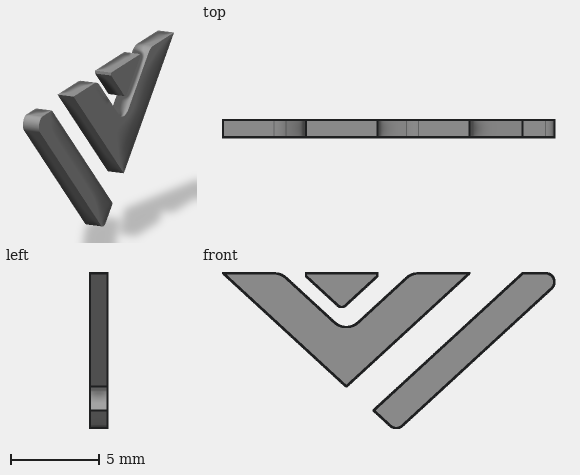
import cadquery as cq
import math

thickness = 1.0
slope = 0.92

chevron_width = 14.0
chevron_arm_width = 3.3
chevron_radius = 1.0

triangle_left = 4.7
triangle_width = 4.06
triangle_side_height = 0.17
triangle_tip_radius = 0.3

bar_right = 18.81
bar_top_left = 17.0
bar_length_x = 8.46
bar_radius = chevron_radius / 2


def plate(points):
    """Extrude a closed XZ outline towards +Y."""
    return cq.Workplane("XZ").polyline(points).close().extrude(-thickness)


def round_corner(body, point, radius):
    """Fillet the edge along Y that passes through an outline corner."""
    x, z = point
    corner = cq.selectors.NearestToPointSelector((x, thickness / 2, z))
    return body.edges("|Y").edges(corner).fillet(radius)


def make_chevron():
    middle = chevron_width / 2
    outer_tip = (middle, -slope * middle)
    inner_tip = (middle, -slope * (middle - chevron_arm_width))
    inner_left = (chevron_arm_width, 0)
    inner_right = (chevron_width - chevron_arm_width, 0)
    body = plate([(0, 0), inner_left, inner_tip, inner_right, (chevron_width, 0), outer_tip])
    for corner in (inner_left, inner_tip, inner_right):
        body = round_corner(body, corner, chevron_radius)
    return body


def make_triangle():
    right = triangle_left + triangle_width
    half_width = triangle_width / 2
    tip = (triangle_left + half_width, -triangle_side_height - slope * half_width)
    body = plate([
        (triangle_left, 0),
        (right, 0),
        (right, -triangle_side_height),
        tip,
        (triangle_left, -triangle_side_height),
    ])
    return round_corner(body, tip, triangle_tip_radius)


def make_bar():
    corner_angle = math.atan(slope)
    tangent_length = bar_radius / math.tan(corner_angle / 2)
    top_right = (bar_right - bar_radius + tangent_length, 0)

    lower_left = (bar_top_left - bar_length_x, -slope * bar_length_x)
    end_run = (top_right[0] - bar_top_left) / 2
    lower_right = (lower_left[0] + end_run, lower_left[1] - slope * end_run)

    body = plate([(bar_top_left, 0), top_right, lower_right, lower_left])
    for corner in (top_right, lower_right):
        body = round_corner(body, corner, bar_radius)
    return body


chevron = make_chevron()
triangle = make_triangle()
bar = make_bar()

result = cq.Compound.makeCompound([chevron.val(), triangle.val(), bar.val()])